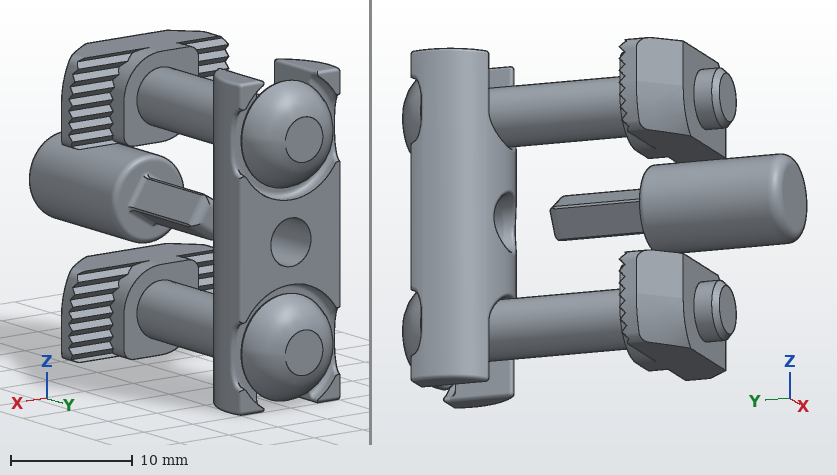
import cadquery as cq
import math

screw_spacing = 18.0
screw_places = (screw_spacing / 2, -screw_spacing / 2)
edge_round = 0.3
tolerance = 0.005

bar_diameter = 10.75
bar_height = 28.0
bar_back_y = 1.7
bar_slot_width = 5.32
pin_hole_diameter = 4.1
pin_hole_mouth_diameter = 5.0
pin_hole_flare_depth = 1.48
seat_diameter = 10.85
seat_depth = 1.0
seat_corner_round = 0.5
slot_rim_round = 0.2
seat_y = bar_back_y - seat_depth
bar_back_half_width = math.sqrt((bar_diameter / 2) ** 2 - bar_back_y**2)

shank_diameter = 5.0
shank_tip_diameter = 4.0
shank_length = 25.0
head_diameter = 9.03
head_height = 2.83
head_flat_radius = 1.92
head_shoulder_radius = 3.5
head_shoulder_height = 2.02
neck_round = 0.25

nut_length = 16.0
nut_width = 7.65
nut_back_y = -16.27
nut_boss_height = 1.48
nut_side_height = 1.5
nut_bevel = 3.0
nut_corner_round = 1.0
tooth_pitch = 1.0
tooth_depth = tooth_pitch / 2
tooth_count = 8

pin_diameter = 7.4
pin_total_length = 21.0
pin_grip_length = 12.4
pin_front_round = 0.98
pin_back_round = 0.5
stem_square = 3.0
stem_corner_diameter = 4.0
stem_angle = -32.0
stem_tip_round = 0.8
stem_neck_round = 0.45
overall_depth = 33.68

pin_front_y = seat_y + head_height - overall_depth


def along_y(y):
    """Workplane at height y whose extrusions run toward +Y; local axes are X and -Z."""
    return cq.Workplane("XZ", origin=(0, y, 0)).transformed(rotate=(180, 0, 0))


def cut_screw_slots(bar):
    """Slots for the screws, each open toward its end of the bar."""
    bar_radius = bar_diameter / 2
    for end in (1, -1):
        screw_z = end * screw_spacing / 2
        round_end = along_y(-bar_radius).center(0, -screw_z).circle(bar_slot_width / 2).extrude(bar_diameter)
        opening = cq.Workplane("XY").box(bar_slot_width, bar_diameter, bar_height / 2)
        opening = opening.translate((0, 0, screw_z + end * bar_height / 4))
        bar = bar.cut(round_end).cut(opening)
    return bar


def cut_pin_hole(bar):
    """Through hole for the pin stem, flared toward the front."""
    bar_radius = bar_diameter / 2
    bore = along_y(-bar_radius).circle(pin_hole_diameter / 2).extrude(bar_diameter)
    flare = cq.Solid.makeCone(
        pin_hole_mouth_diameter / 2,
        pin_hole_diameter / 2,
        pin_hole_flare_depth,
        pnt=cq.Vector(0, -bar_radius, 0),
        dir=cq.Vector(0, 1, 0),
    )
    return bar.cut(bore).cut(cq.Workplane(flare))


def is_end_or_front_edge(edge):
    """True on the two end faces and where the slots and the pin hole open to the front."""
    center = edge.Center()
    on_end_face = abs(center.z) > bar_height / 2 - tolerance
    on_front = center.y < pin_hole_flare_depth - bar_diameter / 2 - tolerance
    return on_end_face or on_front


def is_side_edge(edge):
    """True along the sides of the bar: its back corners and the ends of the head seats."""
    center = edge.Center()
    inside_seat = edge.geomType() == "CIRCLE"
    between_ends = abs(center.z) < bar_height / 2 - edge_round
    return abs(center.x) > bar_back_half_width - edge_round / 2 and between_ends and not inside_seat


def is_slot_rim(edge):
    """True for the rim of a screw slot on the floor of its head seat."""
    center = edge.Center()
    on_floor = abs(center.y - seat_y) < tolerance
    over_slot = abs(center.x) < bar_slot_width / 2 + tolerance
    inside_seat_wall = edge.geomType() == "LINE" or (
        edge.geomType() == "CIRCLE" and edge.radius() < bar_slot_width / 2 + tolerance
    )
    return on_floor and over_slot and inside_seat_wall


def make_bar():
    """Round bar with a flat back, screw slots, head seats and a hole for the pin."""
    bar_radius = bar_diameter / 2
    bar = cq.Workplane("XY").circle(bar_radius).extrude(bar_height / 2, both=True)
    back_cut = cq.Workplane("XY").box(bar_diameter, bar_radius, bar_height)
    bar = bar.cut(back_cut.translate((0, bar_back_y + bar_radius / 2, 0)))
    bar = cut_pin_hole(cut_screw_slots(bar))
    bar = bar.edges().filter(is_end_or_front_edge).fillet(edge_round)
    for screw_z in screw_places:
        seat = along_y(seat_y).center(0, -screw_z).circle(seat_diameter / 2).extrude(bar_radius)
        bar = bar.cut(seat.faces("<Y").edges().fillet(seat_corner_round))
    bar = bar.edges().filter(is_side_edge).fillet(edge_round)
    return bar.edges().filter(is_slot_rim).fillet(slot_rim_round)


def make_screw(screw_z):
    """Domed-head screw revolved about its own Y axis, head seated in the bar."""
    shank_radius = shank_diameter / 2
    tip_radius = shank_tip_diameter / 2
    tip_chamfer = shank_radius - tip_radius
    head_radius = head_diameter / 2
    profile = (
        cq.Workplane("XY")
        .moveTo(0, -shank_length)
        .lineTo(tip_radius, -shank_length)
        .lineTo(shank_radius, -shank_length + tip_chamfer)
        .lineTo(shank_radius, -neck_round)
        .radiusArc((shank_radius + neck_round, 0), neck_round)
        .lineTo(head_radius - edge_round, 0)
        .radiusArc((head_radius, edge_round), -edge_round)
        .threePointArc((head_shoulder_radius, head_shoulder_height), (head_flat_radius, head_height))
        .lineTo(0, head_height)
        .close()
    )
    screw = profile.revolve(360, (0, 0, 0), (0, 1, 0))
    return screw.translate((0, seat_y, screw_z))


def quadrant_pair(x_side):
    """Two opposite XZ quadrants around the nut axis: (x_side, +Z) and (-x_side, -Z)."""
    block = cq.Workplane("XY").box(nut_length, nut_length, nut_length)
    half = nut_length / 2
    upper = block.translate((x_side * half, 0, half))
    lower = block.translate((-x_side * half, 0, -half))
    return upper.union(lower)


def mix_quadrants(square_form, round_form):
    """Square form at (-X, +Z) and (+X, -Z), round form in the other two quadrants."""
    square_part = square_form.intersect(quadrant_pair(-1))
    round_part = round_form.intersect(quadrant_pair(1))
    return square_part.union(round_part)


def make_nut(screw_z):
    """T-slot nut with rounded quadrants that let it twist into its slot; Y = 0 is its back."""
    half_length = nut_length / 2
    half_width = nut_width / 2
    wing_back_y = -nut_boss_height
    bevel_y = wing_back_y - nut_side_height
    front_y = bevel_y - nut_bevel
    wing_depth = wing_back_y - front_y

    bar_outline = along_y(front_y).rect(nut_length, nut_width).extrude(wing_depth)
    disc_outline = along_y(front_y).circle(half_length).extrude(wing_depth)
    wings = mix_quadrants(bar_outline, disc_outline.intersect(bar_outline))
    above = cq.selectors.BoxSelector((-nut_length, front_y, 0.35), (nut_length, 0, nut_width))
    below = cq.selectors.BoxSelector((-nut_length, front_y, -nut_width), (nut_length, 0, -0.35))
    wings = wings.edges("|Y").edges(above + below).fillet(nut_corner_round)

    front_half_length = half_length - nut_bevel
    half_outline = [
        (0, front_y),
        (front_half_length, front_y),
        (half_length, bevel_y),
        (half_length, wing_back_y),
        (0, wing_back_y),
    ]
    cone_bevel = cq.Workplane("XY").polyline(half_outline).close().revolve(360, (0, 0, 0), (0, 1, 0))
    flat_half = cq.Workplane("XY").polyline(half_outline).close().extrude(half_width, both=True)
    flat_bevel = flat_half.union(flat_half.mirror("YZ"))
    body = wings.intersect(mix_quadrants(flat_bevel, cone_bevel))

    for index in range(tooth_count):
        groove_z = (index - (tooth_count - 1) / 2) * tooth_pitch
        groove = (
            cq.Workplane("YZ")
            .moveTo(wing_back_y, groove_z - tooth_pitch / 2)
            .lineTo(wing_back_y - tooth_depth, groove_z)
            .lineTo(wing_back_y, groove_z + tooth_pitch / 2)
            .close()
            .extrude(half_length, both=True)
        )
        body = body.cut(groove)

    boss_base_y = wing_back_y - tooth_depth
    boss_square = along_y(boss_base_y).rect(nut_width, nut_width).extrude(-boss_base_y)
    boss_square = boss_square.edges("|Y").fillet(nut_corner_round)
    boss_round = along_y(boss_base_y).circle(half_width).extrude(-boss_base_y)
    body = body.union(mix_quadrants(boss_square, boss_round))

    body = body.cut(along_y(front_y).circle(shank_diameter / 2).extrude(-front_y))
    return body.translate((0, nut_back_y, screw_z))


def make_pin():
    """Round grip with a square stem whose corners are turned down to a diameter."""
    grip = along_y(0).circle(pin_diameter / 2).extrude(pin_grip_length)
    grip = grip.faces("<Y").edges().fillet(pin_front_round)
    grip = grip.faces(">Y").edges().fillet(pin_back_round)
    stem_length = pin_total_length - pin_grip_length
    stem = along_y(pin_grip_length).rect(stem_square, stem_square).extrude(stem_length)
    stem = stem.faces(">Y").edges().fillet(stem_tip_round)
    corner_turning = along_y(pin_grip_length).circle(stem_corner_diameter / 2).extrude(stem_length)
    pin = grip.union(stem.intersect(corner_turning))
    neck = cq.selectors.BoxSelector(
        (-stem_square, pin_grip_length - 0.05, -stem_square), (stem_square, pin_grip_length + 0.05, stem_square)
    )
    pin = pin.faces("<Y[-2]").edges(neck).fillet(stem_neck_round)
    return pin.rotate((0, 0, 0), (0, 1, 0), stem_angle).translate((0, pin_front_y, 0))


bar = make_bar()
pin = make_pin()
screws = [make_screw(screw_z) for screw_z in screw_places]
nuts = [make_nut(screw_z) for screw_z in screw_places]
result = cq.Compound.makeCompound([body.val() for body in [bar, pin, *screws, *nuts]])